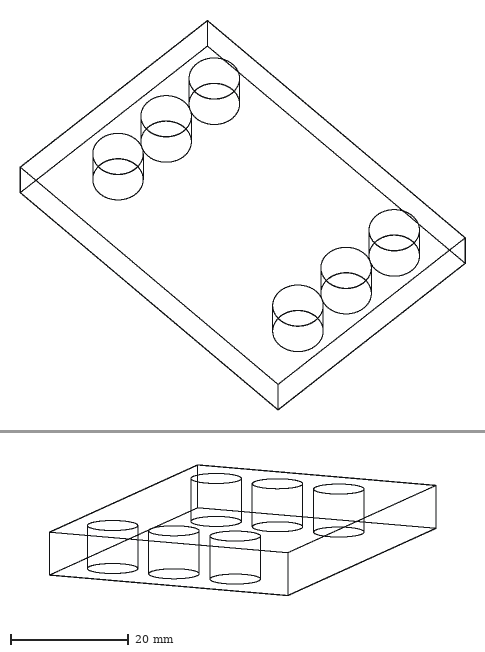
import cadquery as cq

length = 63.5
width = 44.45
thickness = 7.5

hole_diameter = 8.65
column_spacing = 44.3
row_pitch = 11.4
rows_per_column = 3
top_row_to_edge = 7.6

top_row_y = width / 2 - top_row_to_edge
hole_centres = [
    (side * column_spacing / 2, top_row_y - row * row_pitch)
    for side in (-1, 1)
    for row in range(rows_per_column)
]

plate = cq.Workplane("XY").box(length, width, thickness)
result = plate.faces(">Z").workplane().pushPoints(hole_centres).hole(hole_diameter)